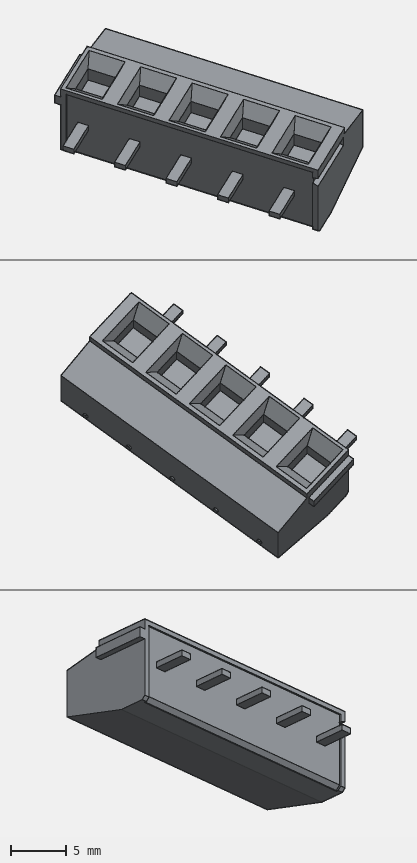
import cadquery as cq
terminal_count = 5
overall_length = 26.0
rib_depth = 0.6
body_length = overall_length - rib_depth
body_width = 10.0
body_height = 8.15
pitch = body_length / terminal_count
first_terminal_x = 2.15

front_chamfer = 0.35
underside_end_y = 3.0
rear_bottom_z = 1.87
rear_top_z = 6.63
step_y = 5.9
step_z = 7.39

rib_height = 1.01
rib_length = 5.65
rib_top_depth = 1.05
rib_top_z = body_height - rib_top_depth
groove_floor_height = 0.62

recess_depth = 0.15
frame_side = 0.55
frame_top = 0.5
recess_chamfer = front_chamfer + recess_depth
recess_lip = 0.08
recess_lip_y = recess_depth + recess_chamfer - recess_lip

opening_length = 3.55
opening_front_y = 0.3
opening_rear_y = 5.5
well_length = 2.75
well_front_y = 1.59
well_rear_y = 4.35
funnel_depth = 1.15
well_depth = 1.43

pin_width = 1.07
pin_thickness = 0.6
pin_projection = 3.12
pin_depth = 4.05
pin_z = body_height - pin_depth
stud_diameter = 0.5
stud_projection = 0.15
stud_z = 2.52

terminal_positions = [first_terminal_x + i * pitch for i in range(terminal_count)]


def box(x_range, y_range, z_range):
    """Axis-aligned block given by its lower and upper limits."""
    x0, x1 = x_range
    y0, y1 = y_range
    z0, z1 = z_range
    block = cq.Workplane("XY").box(x1 - x0, y1 - y0, z1 - z0, centered=False)
    return block.translate((x0, y0, z0))


def housing():
    """Stepped and sloped side outline, extruded along the terminal row."""
    outline = [
        (front_chamfer, 0),
        (underside_end_y, 0),
        (body_width, rear_bottom_z),
        (body_width, rear_top_z),
        (step_y, step_z),
        (step_y, body_height),
        (0, body_height),
        (0, front_chamfer),
    ]
    return cq.Workplane("YZ").polyline(outline).close().extrude(body_length)


def face_recess():
    """Recess open at the bottom, with its own chamfer ending in a low upright lip."""
    outline = [
        (0, front_chamfer),
        (0, body_height - frame_top),
        (recess_depth, body_height - frame_top),
        (recess_depth, recess_chamfer),
        (recess_lip_y, recess_lip),
        (recess_lip_y, 0),
        (front_chamfer, 0),
    ]
    return (
        cq.Workplane("YZ", origin=(frame_side, 0, 0))
        .polyline(outline)
        .close()
        .extrude(body_length - 2 * frame_side)
    )


def side_rib():
    """Rib along the left side, flush with the wiring face."""
    return box((-rib_depth, 0), (0, rib_length), (rib_top_z - rib_height, rib_top_z))


def side_groove():
    """Groove in the right side, narrowing inwards to the thickness of the frame."""
    middle_z = rib_top_z - rib_height / 2
    floor_x = body_length - frame_side
    outline = [
        (body_length, middle_z - rib_height / 2),
        (body_length, middle_z + rib_height / 2),
        (floor_x, middle_z + groove_floor_height / 2),
        (floor_x, middle_z - groove_floor_height / 2),
    ]
    return cq.Workplane("XZ").polyline(outline).close().extrude(-rib_length)


def terminal_opening(x):
    """Funnel from the top face that leads into a straight-sided well."""
    opening_y = (opening_front_y + opening_rear_y) / 2
    well_y = (well_front_y + well_rear_y) / 2
    well_width = well_rear_y - well_front_y
    funnel = (
        cq.Workplane("XY", origin=(x, opening_y, body_height))
        .rect(opening_length, opening_rear_y - opening_front_y)
        .workplane(offset=-funnel_depth)
        .center(0, well_y - opening_y)
        .rect(well_length, well_width)
        .loft()
    )
    well = (
        cq.Workplane("XY", origin=(x, well_y, body_height - funnel_depth))
        .rect(well_length, well_width)
        .extrude(-well_depth)
    )
    return funnel.union(well)


def solder_pin(x):
    """Flat pin standing out of the recessed wiring face."""
    return box(
        (x - pin_width / 2, x + pin_width / 2),
        (-pin_projection, recess_depth),
        (pin_z - pin_thickness / 2, pin_z + pin_thickness / 2),
    )


def rear_stud(x):
    """Small round stud on the rear face."""
    return (
        cq.Workplane("XZ", origin=(x, body_width, stud_z))
        .circle(stud_diameter / 2)
        .extrude(-stud_projection)
    )


result = housing().cut(face_recess()).union(side_rib()).cut(side_groove())
for terminal_x in terminal_positions:
    result = result.cut(terminal_opening(terminal_x))
    result = result.union(solder_pin(terminal_x))
    result = result.union(rear_stud(terminal_x))